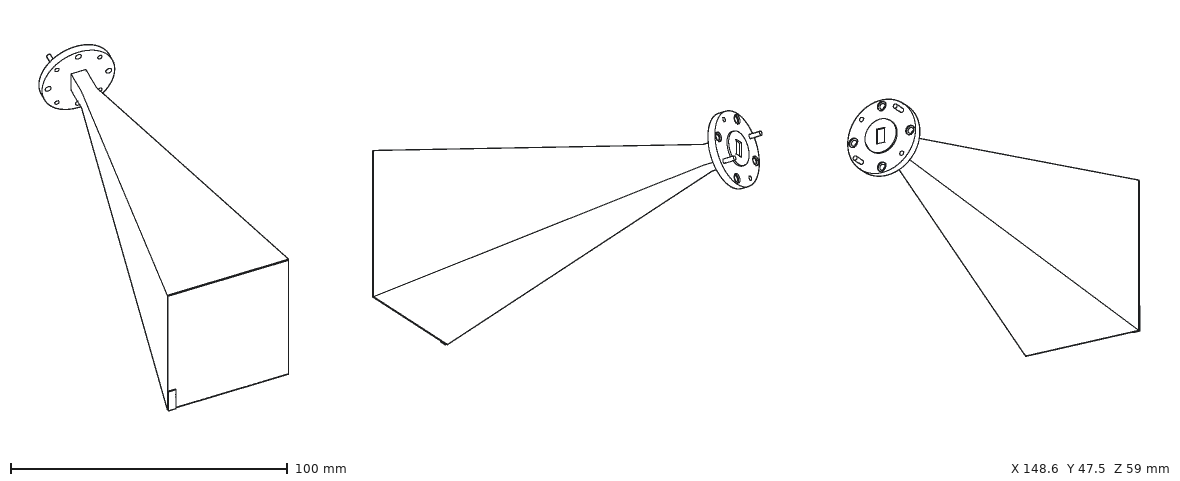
import cadquery as cq
import math


TOTAL_LENGTH = 148.6
PIN_PROJECTION = 4.6
FLANGE_DIAMETER = 28.5
FLANGE_THICKNESS = 3.1
BOSS_DIAMETER = 13.1
BOSS_HEIGHT = 0.7
NECK_LENGTH = 9.8
NECK_WIDTH = 5.8
NECK_HEIGHT = 8.5
MOUTH_WIDTH = 47.5
MOUTH_HEIGHT = 59.0
COVER_THICKNESS = 0.5
COVER_INSET = 0.1
PAD_THICKNESS = 0.9
PAD_WIDTH = 3.0
PAD_HEIGHT = 9.8
PAD_EDGE_GAP = 0.1
PORT_WIDTH = 3.3
PORT_HEIGHT = 5.8
PORT_DEPTH = BOSS_HEIGHT
BOLT_CIRCLE_RADIUS = 11.9
BOLT_HOLE_DIAMETER = 2.2
BOLT_RECESS_DIAMETER = 3.5
BOLT_RECESS_DEPTH = 0.6
PIN_DIAMETER = 1.6

flange_front = PIN_PROJECTION
flange_back = flange_front + FLANGE_THICKNESS
boss_front = flange_front - BOSS_HEIGHT
neck_end = flange_back + NECK_LENGTH
mouth = TOTAL_LENGTH - PAD_THICKNESS

BOLT_ANGLES = [0, 90, 180, 270]
OPEN_PIN_HOLE_ANGLES = [45, 225]
PIN_ANGLES = [135, 315]


def section(x):
    """YZ workplane at station x, extruding towards +X."""
    return cq.Workplane("YZ", origin=(x, 0, 0))


def bolt_circle_points(angles):
    """Points on the bolt circle at the given angles in degrees."""
    return [
        (
            BOLT_CIRCLE_RADIUS * math.cos(math.radians(angle)),
            BOLT_CIRCLE_RADIUS * math.sin(math.radians(angle)),
        )
        for angle in angles
    ]


def round_bars(angles, diameter, start, length):
    """Cylinders along X on the bolt circle."""
    return section(start).pushPoints(bolt_circle_points(angles)).circle(diameter / 2).extrude(length)


def make_flange():
    """Round flange with a raised boss, a shallow port, bolt holes and pin holes."""
    plate = section(flange_front).circle(FLANGE_DIAMETER / 2).extrude(FLANGE_THICKNESS)
    boss = section(boss_front).circle(BOSS_DIAMETER / 2).extrude(BOSS_HEIGHT)
    port = section(boss_front).rect(PORT_WIDTH, PORT_HEIGHT).extrude(PORT_DEPTH)
    bolt_holes = round_bars(BOLT_ANGLES, BOLT_HOLE_DIAMETER, flange_front, FLANGE_THICKNESS)
    bolt_recesses = round_bars(BOLT_ANGLES, BOLT_RECESS_DIAMETER, flange_front, BOLT_RECESS_DEPTH)
    pin_holes = round_bars(
        OPEN_PIN_HOLE_ANGLES + PIN_ANGLES, PIN_DIAMETER, flange_front, FLANGE_THICKNESS
    )
    return plate.union(boss).cut(port).cut(bolt_holes).cut(bolt_recesses).cut(pin_holes)


def make_flare():
    """Straight neck, four-sided flare and a thin, slightly inset cover on the mouth."""
    neck = section(flange_back).rect(NECK_WIDTH, NECK_HEIGHT).extrude(NECK_LENGTH)
    flare = (
        section(neck_end)
        .rect(NECK_WIDTH, NECK_HEIGHT)
        .workplane(offset=mouth - neck_end)
        .rect(MOUTH_WIDTH, MOUTH_HEIGHT)
        .loft(ruled=True)
    )
    cover_width = MOUTH_WIDTH - 2 * COVER_INSET
    cover_height = MOUTH_HEIGHT - 2 * COVER_INSET
    cover = section(mouth).rect(cover_width, cover_height).extrude(COVER_THICKNESS)
    return neck.union(flare).union(cover)


def make_mouth_pad():
    """Thin pad on the mouth face, standing out past the cover, in the -Y, -Z corner."""
    center_y = -MOUTH_WIDTH / 2 + PAD_EDGE_GAP + PAD_WIDTH / 2
    center_z = -MOUTH_HEIGHT / 2 + PAD_EDGE_GAP + PAD_HEIGHT / 2
    return section(mouth).center(center_y, center_z).rect(PAD_WIDTH, PAD_HEIGHT).extrude(PAD_THICKNESS)


def make_pins():
    """Two alignment pins, each filling its flange hole and standing out of the front face."""
    return round_bars(PIN_ANGLES, PIN_DIAMETER, 0, flange_back)


horn = make_flange().union(make_flare()).union(make_mouth_pad())
pins = make_pins()

result = cq.Compound.makeCompound([horn.val(), *pins.vals()])